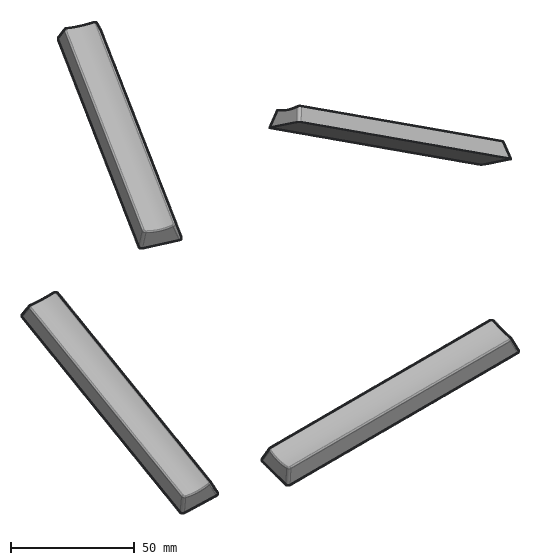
import cadquery as cq
import math

length = 118.0
width = 18.0
height = 7.3

wall_slope = 17.1
corner_radius = 1.3
rim_radius = 0.65

dish_depth = 1.0
rim_loss = 0.17
sharp_height = height + rim_loss
dish_bottom = sharp_height - dish_depth
dish_half_width = width / 2 - sharp_height * math.tan(math.radians(wall_slope))
dish_radius = (dish_half_width**2 + dish_depth**2) / (2 * dish_depth)


def tapered_body():
    """Block with leaning walls and rounded corners, tall enough for the dish to be cut."""
    blank_height = sharp_height + dish_depth
    block = cq.Workplane("XY").rect(length, width).extrude(blank_height, taper=wall_slope)
    return block.edges("not #Z").fillet(corner_radius)


def dish_cutter():
    """Round bar along X whose underside forms the dish."""
    start = cq.Vector(-length / 2, 0, dish_bottom + dish_radius)
    along_x = cq.Vector(1, 0, 0)
    return cq.Workplane(cq.Solid.makeCylinder(dish_radius, length, start, along_x))


body = tapered_body().cut(dish_cutter())
dish_floor = body.faces(cq.NearestToPointSelector((0, 0, dish_bottom)))
result = dish_floor.edges().fillet(rim_radius)